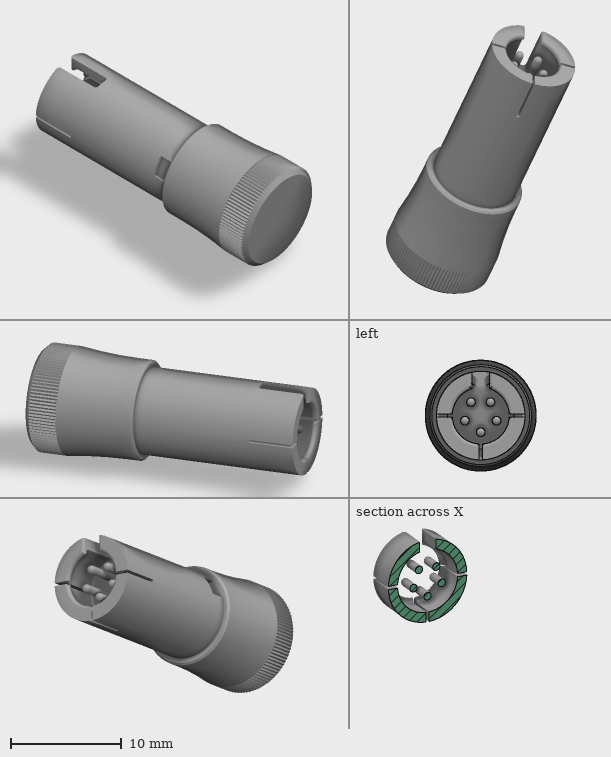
import cadquery as cq
import math

total_length = 25.4
barrel_radius = 8.0 / 2

sleeve_start = 15.21
sleeve_radius = 9.2 / 2
sleeve_nose_chamfer = 0.18
flare_start = 16.71
knurl_start = 22.35
knurl_radius = 10.0 / 2
rear_chamfer = 0.5

tooth_count = 100
tooth_depth = 0.15
tooth_pitch_angle = 2 * math.pi / tooth_count
tooth_phase = tooth_pitch_angle / 4

lip_radius = 2.57
lip_round = 0.3
lip_length = 0.4
bore_radius = 3.02
bore_depth = 4.45
bore_round = 0.3

keyway_width = 1.6
keyway_round = 0.3

slit_width = 0.28
slit_length = 4.17
slit_corner_round = 0.2
slit_angles = (0, 180, 270)

pin_count = 5
pin_radius = 0.8 / 2
pin_circle_radius = 1.5
pin_tip = 0.97
first_pin_angle = -90

pocket_start = 13.75
pocket_width = 2.0
pocket_floor_radius = 3.45
pocket_tilt = 30

half_arc = math.sqrt(0.5)


def cylinder(start, end, radius):
    return cq.Workplane("YZ", origin=(start, 0, 0)).circle(radius).extrude(end - start)


def revolve_about_x(profile):
    return profile.close().revolve(360, (0, 0, 0), (1, 0, 0))


def sleeve_body():
    """Cylinder that widens through a tangent arc towards the grip."""
    return revolve_about_x(
        cq.Workplane("XY")
        .moveTo(sleeve_start, 0)
        .lineTo(sleeve_start, sleeve_radius - sleeve_nose_chamfer)
        .lineTo(sleeve_start + sleeve_nose_chamfer, sleeve_radius)
        .lineTo(flare_start, sleeve_radius)
        .tangentArcPoint((knurl_start, knurl_radius), relative=False)
        .lineTo(knurl_start, 0)
    )


def knurled_grip():
    """Toothed ring with V-shaped grooves and a chamfered rear rim."""
    points = []
    for tooth in range(tooth_count):
        crest_angle = tooth * tooth_pitch_angle + tooth_phase
        valley_angle = crest_angle + tooth_pitch_angle / 2
        for angle, radius in ((crest_angle, knurl_radius), (valley_angle, knurl_radius - tooth_depth)):
            points.append((radius * math.cos(angle), radius * math.sin(angle)))
    teeth = cq.Workplane("YZ", origin=(knurl_start, 0, 0)).polyline(points).close()
    blank = cylinder(knurl_start, total_length, knurl_radius).faces(">X").chamfer(rear_chamfer)
    return teeth.extrude(total_length - knurl_start).intersect(blank)


def socket():
    """Space inside the barrel, as a solid of revolution."""
    mouth_radius = lip_radius + lip_round
    corner_radius = bore_radius - bore_round
    corner_middle_radius = corner_radius + bore_round * half_arc
    front_corner = lip_length + bore_round
    floor_corner = bore_depth - bore_round
    lip_arc_middle = (lip_round * (1 - half_arc), mouth_radius - lip_round * half_arc)
    front_arc_middle = (front_corner - bore_round * half_arc, corner_middle_radius)
    floor_arc_middle = (floor_corner + bore_round * half_arc, corner_middle_radius)
    return revolve_about_x(
        cq.Workplane("XY")
        .lineTo(0, mouth_radius)
        .threePointArc(lip_arc_middle, (lip_round, lip_radius))
        .lineTo(lip_length, lip_radius)
        .lineTo(lip_length, corner_radius)
        .threePointArc(front_arc_middle, (front_corner, bore_radius))
        .lineTo(floor_corner, bore_radius)
        .threePointArc(floor_arc_middle, (bore_depth, corner_radius))
        .lineTo(bore_depth, 0)
    )


def flared_channel(plane, width, mouth_round, depth):
    """Channel outline running along the plane's local x, with its mouth corners rounded outwards."""
    half = width / 2
    arc_x = mouth_round * (1 - half_arc)
    return (
        plane.moveTo(0, -half - mouth_round)
        .threePointArc((arc_x, -half - arc_x), (mouth_round, -half))
        .lineTo(depth, -half)
        .lineTo(depth, half)
        .lineTo(mouth_round, half)
        .threePointArc((arc_x, half + arc_x), (0, half + mouth_round))
        .close()
    )


def keyway():
    """Open-ended slot through the +Z wall with rounded vertical corners."""
    channel = flared_channel(cq.Workplane("XY"), keyway_width, keyway_round, bore_depth)
    cutter = channel.extrude(barrel_radius)
    return cutter.edges("|Z and >X").fillet(keyway_round)


def slit(angle):
    """Slit through the wall on the +Y side, turned about X by the angle."""
    straight_length = slit_length - slit_width / 2
    slot = cq.Workplane("XZ").rect(2 * straight_length, slit_width).extrude(-barrel_radius)
    round_end = cq.Workplane("XZ").center(straight_length, 0).circle(slit_width / 2).extrude(-barrel_radius)
    lip_plane = cq.Workplane("YZ").center(lip_radius, 0)
    lip_corners = flared_channel(lip_plane, slit_width, slit_corner_round, lip_round).extrude(lip_length)
    return slot.union(round_end).union(lip_corners).rotate((0, 0, 0), (1, 0, 0), angle)


def pin(index):
    """Round-nosed pin standing on the socket floor."""
    angle = math.radians(360 / pin_count * index + first_pin_angle)
    center_y = pin_circle_radius * math.cos(angle)
    center_z = pin_circle_radius * math.sin(angle)
    shank = cylinder(pin_tip + pin_radius, bore_depth, pin_radius)
    tip = cq.Workplane("XY").sphere(pin_radius).translate((pin_tip + pin_radius, 0, 0))
    return shank.union(tip).translate((0, center_y, center_z))


def index_pocket():
    """Pocket on the -Y side, raised towards +Z by the tilt angle."""
    length = sleeve_start - pocket_start
    height = barrel_radius - pocket_floor_radius
    center = (pocket_start + length / 2, -pocket_floor_radius - height / 2, 0)
    cutter = cq.Workplane("XY").box(length, height, pocket_width).translate(center)
    return cutter.rotate((0, 0, 0), (1, 0, 0), -pocket_tilt)


barrel = cylinder(0, sleeve_start, barrel_radius).cut(socket()).cut(keyway()).cut(index_pocket())
for slit_angle in slit_angles:
    barrel = barrel.cut(slit(slit_angle))

result = barrel.union(sleeve_body()).union(knurled_grip())
for pin_index in range(pin_count):
    result = result.union(pin(pin_index))